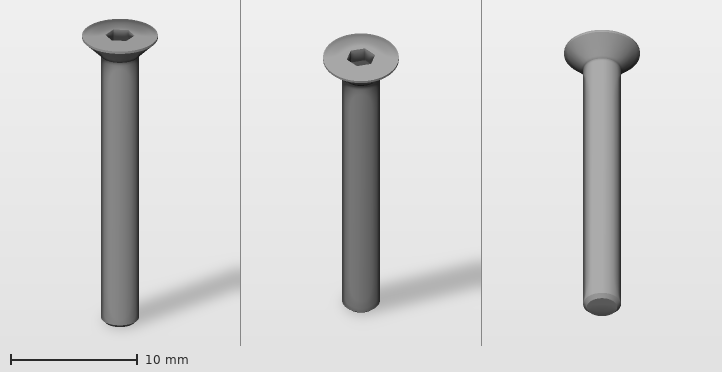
import cadquery as cq
import math

overall_length = 25.0
shank_diameter = 3.0
head_diameter = 6.0
head_rim_height = 0.2
tip_chamfer = 0.3
socket_across_flats = 2.0
socket_depth = 1.2

head_top = 0.0
tip_bottom = head_top - overall_length
shank_radius = shank_diameter / 2
head_radius = head_diameter / 2
head_height = head_rim_height + head_radius - shank_radius


def make_body():
    """Revolve the half profile of the rim, cone, shank and chamfered tip."""
    profile = (
        cq.Workplane("XZ")
        .moveTo(0, head_top)
        .lineTo(head_radius, head_top)
        .lineTo(head_radius, head_top - head_rim_height)
        .lineTo(shank_radius, head_top - head_height)
        .lineTo(shank_radius, tip_bottom + tip_chamfer)
        .lineTo(shank_radius - tip_chamfer, tip_bottom)
        .lineTo(0, tip_bottom)
        .close()
    )
    return profile.revolve(360, (0, 0, 0), (0, 1, 0))


def make_socket():
    """Hexagonal drive recess with two corners on the X axis."""
    across_corners = socket_across_flats / math.cos(math.pi / 6)
    return (
        cq.Workplane("XY", origin=(0, 0, head_top))
        .polygon(6, across_corners)
        .extrude(-socket_depth)
    )


result = make_body().cut(make_socket())